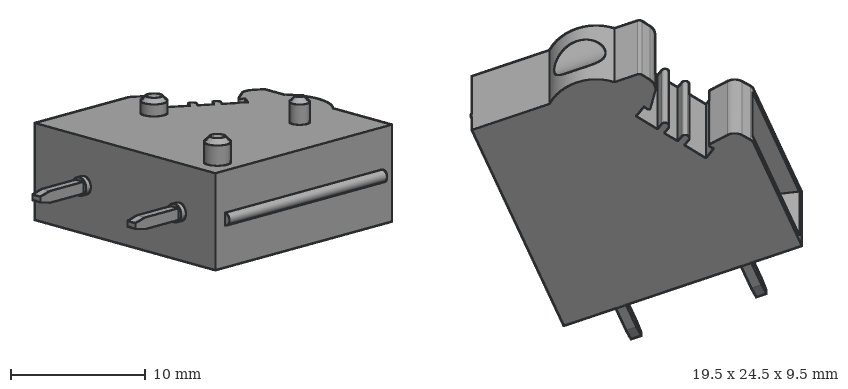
import cadquery as cq
import math

body_width = 19.0
body_height = 18.5
body_thickness = 7.5
mid_z = body_thickness / 2

notch_start = (3.77, 9.8)
notch_angle = math.radians(57)
notch_length = 6.35
notch_depth = 1.0
lip_length = 0.55
lip_radius = 0.12
notch_rib_width = 0.61
notch_rib_length = 0.83
notch_rib_radius = 0.3
notch_rib_spacing = 1.84

jaw_shoulder_y = 9.92
jaw_shoulder_radius = 0.56
jaw_crest = (0.9, 11.2)
jaw_crest_radius = 1.03
nose_tip = (4.75, 17.15)
nose_tip_radius = jaw_crest_radius
nose_top_x = 5.59
nose_top_radius = 0.37

dome_center_x = 10.22
dome_half_width = 2.6
dome_height = 1.0
scoop_half_width = 1.98
scoop_depth = 0.6

bead_radius = 0.5
bead_end_gap = 1.0

entry_low_y = 0.55
entry_high_y = 9.9
entry_height = 6.05
entry_straight_depth = 2.47
entry_bend_depth = 3.35
entry_bend_inset = 0.3
entry_ramp_depth = 4.21
entry_depth = 4.78
entry_floor_low_y = 1.72
entry_floor_size = 3.68

pegs = [
    (4.3, 8.2, 1.0, 1.32, 0.4),
    (13.7, 14.1, 0.75, 2.0, 0.45),
    (17.0, 2.23, 1.0, 2.0, 0.45),
]

pin_count = 2
first_pin_x = 5.22
pin_pitch = 10.0
pin_length = 5.0
pin_width = 0.83
pin_thickness = 0.9
pin_tip_length = 1.0
pin_tip_thickness = 0.45
collar_radius = 0.7
collar_length = 0.5


def notch_point(along, outward):
    """Point at a distance along the notch floor and outward from it."""
    cosine = math.cos(notch_angle)
    sine = math.sin(notch_angle)
    x = notch_start[0] + along * cosine - outward * sine
    y = notch_start[1] + along * sine + outward * cosine
    return (x, y)


def toward(start, end, distance):
    """Point at a distance from start on the way to end."""
    fraction = distance / math.dist(start, end)
    return (
        start[0] + (end[0] - start[0]) * fraction,
        start[1] + (end[1] - start[1]) * fraction,
    )


def rounded_outline(corners):
    """Closed XY outline from (point, radius) corners; the first corner is sharp."""
    outline = cq.Workplane("XY").moveTo(*corners[0][0])
    for i in range(1, len(corners)):
        point, radius = corners[i]
        if radius == 0:
            outline = outline.lineTo(*point)
            continue
        before = corners[i - 1][0]
        after = corners[(i + 1) % len(corners)][0]
        angle_in = math.atan2(before[1] - point[1], before[0] - point[0])
        angle_out = math.atan2(after[1] - point[1], after[0] - point[0])
        half_angle = math.acos(math.cos(angle_in - angle_out)) / 2
        setback = radius / math.tan(half_angle)
        arc_start = toward(point, before, setback)
        arc_end = toward(point, after, setback)
        chord_middle = ((arc_start[0] + arc_end[0]) / 2, (arc_start[1] + arc_end[1]) / 2)
        arc_middle = toward(point, chord_middle, radius / math.sin(half_angle) - radius)
        outline = outline.lineTo(*arc_start).threePointArc(arc_middle, arc_end)
    return outline.close()


def notch_rib(center):
    """Corners of one round-ended rib standing on the notch floor."""
    low = center - notch_rib_width / 2
    high = center + notch_rib_width / 2
    return [
        (notch_point(low, 0), 0),
        (notch_point(low, notch_rib_length), notch_rib_radius),
        (notch_point(high, notch_rib_length), notch_rib_radius),
        (notch_point(high, 0), 0),
    ]


def make_housing():
    corners = [
        ((0, 0), 0),
        ((0, jaw_shoulder_y), jaw_shoulder_radius),
        (jaw_crest, jaw_crest_radius),
        (notch_point(lip_length, notch_depth), lip_radius),
        (notch_point(0, notch_depth), 0),
        (notch_point(0, 0), 0),
    ]
    for side in (-1, 1):
        corners += notch_rib((notch_length + side * notch_rib_spacing) / 2)
    corners += [
        (notch_point(notch_length, 0), 0),
        (notch_point(notch_length, notch_depth), 0),
        (notch_point(notch_length - lip_length, notch_depth), lip_radius),
        (nose_tip, nose_tip_radius),
        ((nose_top_x, body_height), nose_top_radius),
        ((body_width, body_height), 0),
        ((body_width, 0), 0),
    ]
    return rounded_outline(corners).extrude(body_thickness)


def make_dome():
    top_y = body_height + dome_height
    dome = (
        cq.Workplane("XY")
        .moveTo(dome_center_x - dome_half_width, body_height)
        .threePointArc((dome_center_x, top_y), (dome_center_x + dome_half_width, body_height))
        .close()
        .extrude(body_thickness)
    )
    scoop = (
        cq.Workplane("YZ", origin=(dome_center_x - dome_half_width, 0, 0))
        .moveTo(top_y, mid_z - scoop_half_width)
        .threePointArc((top_y - scoop_depth, mid_z), (top_y, mid_z + scoop_half_width))
        .close()
        .extrude(2 * dome_half_width)
    )
    return dome.cut(scoop)


def make_bead():
    return (
        cq.Workplane("XZ", origin=(body_width, bead_end_gap, mid_z))
        .circle(bead_radius)
        .extrude(-(body_height - 2 * bead_end_gap))
    )


def make_wire_entry():
    """Funnel cut: its XY outline and its XZ outline, each run straight through, in common."""
    plan = (
        cq.Workplane("XY")
        .polyline([
            (0, entry_low_y),
            (0, entry_high_y),
            (entry_ramp_depth, entry_high_y - entry_ramp_depth),
            (entry_depth, entry_floor_low_y + entry_floor_size),
            (entry_depth, entry_floor_low_y),
        ])
        .close()
        .extrude(body_thickness)
    )
    half_mouth = entry_height / 2
    half_bend = half_mouth - entry_bend_inset
    half_floor = entry_floor_size / 2
    lower_half = (
        cq.Workplane("XZ", origin=(0, 0, mid_z))
        .moveTo(0, 0)
        .lineTo(0, -half_mouth)
        .lineTo(entry_straight_depth, -half_mouth)
        .tangentArcPoint((entry_bend_depth, -half_bend), relative=False)
        .lineTo(entry_depth, -half_floor)
        .lineTo(entry_depth, 0)
        .close()
        .extrude(-body_height)
    )
    elevation = lower_half.union(lower_half.mirror("XY", (0, 0, mid_z)))
    return plan.intersect(elevation)


def make_peg(x, y, radius, height, chamfer):
    return (
        cq.Workplane("XY", origin=(x, y, body_thickness))
        .circle(radius)
        .extrude(height)
        .faces(">Z")
        .chamfer(chamfer)
    )


def make_pin(x):
    half_thickness = pin_thickness / 2
    half_tip = pin_tip_thickness / 2
    taper_y = pin_tip_length - pin_length
    blade = (
        cq.Workplane("YZ", origin=(x - pin_width / 2, 0, mid_z))
        .polyline([
            (0, -half_thickness),
            (taper_y, -half_thickness),
            (-pin_length, -half_tip),
            (-pin_length, half_tip),
            (taper_y, half_thickness),
            (0, half_thickness),
        ])
        .close()
        .extrude(pin_width)
    )
    collar = cq.Workplane("XZ", origin=(x, 0, mid_z)).circle(collar_radius).extrude(collar_length)
    return blade.union(collar)


result = make_housing().union(make_dome()).union(make_bead()).cut(make_wire_entry())
for peg in pegs:
    result = result.union(make_peg(*peg))
for pin_index in range(pin_count):
    result = result.union(make_pin(first_pin_x + pin_index * pin_pitch))